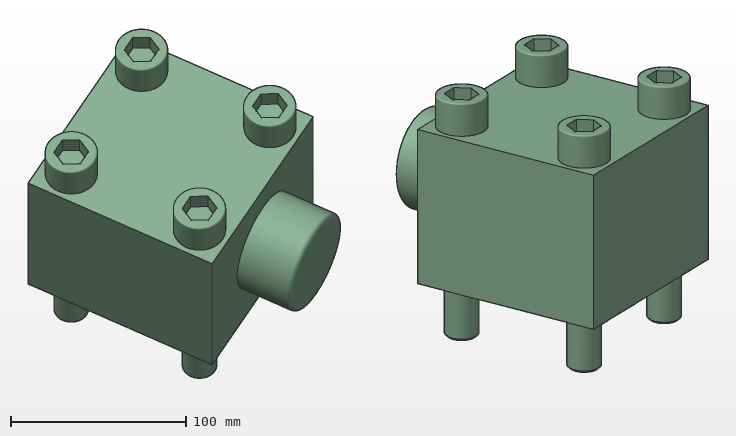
import cadquery as cq
import math

overall_length = 155.0

block_side = 120.0
block_height = 96.0

outlet_diameter = 60.8
outlet_length = overall_length - block_side
outlet_fillet = 2.5
outlet_axis_height = 48.8

disc_diameter = 92.0
disc_thickness = 4.0

screw_spacing = 83.5
shank_diameter = 20.0
shank_projection = 34.1
shank_chamfer = 1.5
head_diameter = 1.5 * shank_diameter
head_height = shank_diameter
head_fillet = 1.0
socket_across_flats = 17.0
socket_depth = shank_diameter / 2
socket_across_corners = socket_across_flats / math.cos(math.pi / 6)


def make_block():
    return cq.Workplane("XY").box(block_side, block_side, block_height, centered=(True, True, False))


def make_outlet():
    return (
        cq.Workplane("YZ", origin=(block_side / 2, 0, outlet_axis_height))
        .circle(outlet_diameter / 2)
        .extrude(outlet_length)
        .faces(">X")
        .edges()
        .fillet(outlet_fillet)
    )


def make_disc():
    return cq.Workplane("XY").circle(disc_diameter / 2).extrude(-disc_thickness)


def make_shank():
    return (
        cq.Workplane("XY")
        .circle(shank_diameter / 2)
        .extrude(-shank_projection)
        .faces("<Z")
        .chamfer(shank_chamfer)
    )


def make_head():
    """Cap screw head standing on the block, with corners of its hex socket along Y."""
    head = (
        cq.Workplane("XY", origin=(0, 0, block_height))
        .circle(head_diameter / 2)
        .extrude(head_height)
        .faces(">Z")
        .edges()
        .fillet(head_fillet)
    )
    socket = (
        cq.Workplane("XY", origin=(0, 0, block_height + head_height))
        .transformed(rotate=(0, 0, 90))
        .polygon(6, socket_across_corners)
        .extrude(-socket_depth)
    )
    return head.cut(socket)


result = make_block().union(make_outlet()).union(make_disc())
for x_side in (-1, 1):
    for y_side in (-1, 1):
        position = (x_side * screw_spacing / 2, y_side * screw_spacing / 2, 0)
        result = result.union(make_shank().translate(position))
        result = result.union(make_head().translate(position))